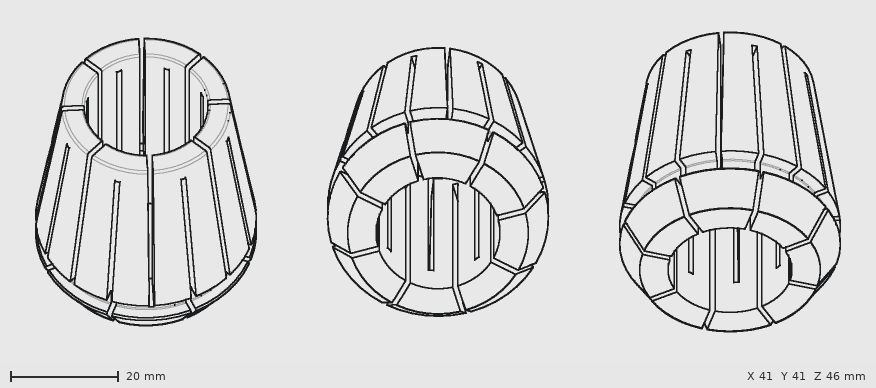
import cadquery as cq
import math

length = 46.0
max_radius = 41.0 / 2
bore_radius = 23.0 / 2

nose_angle = 30.0
nose_land_height = 0.15
nose_cone_top = 6.6
nose_rim_height = 0.45
nose_rim_inset = 0.3
nose_height = nose_cone_top + nose_rim_height
nose_tip_radius = max_radius - (nose_cone_top - nose_land_height) * math.tan(math.radians(nose_angle))

groove_radius = 36.2 / 2
groove_width = 4.1
groove_fillet = 0.2
groove_top = nose_height + groove_width

taper_angle = 8.0
taper_top_radius = max_radius - (length - groove_top) * math.tan(math.radians(taper_angle))

outer_edge_fillet = 0.5
bore_edge_fillet = 0.4

slot_width = 1.0
slot_reach = max_radius + slot_width
slots_per_end = 8
slot_pitch = 360.0 / slots_per_end
uncut_top_height = 3.5
lower_slot_top = length - uncut_top_height
upper_slot_floor = 7.6


def make_blank():
    """Revolve the collet wall, from the bore to the outside, around Z."""
    fillet_start_radius = groove_radius + groove_fillet
    return (
        cq.Workplane("XZ")
        .moveTo(bore_radius, 0)
        .lineTo(nose_tip_radius, 0)
        .lineTo(nose_tip_radius, nose_land_height)
        .lineTo(max_radius, nose_cone_top)
        .lineTo(max_radius - nose_rim_inset, nose_height)
        .lineTo(fillet_start_radius, nose_height)
        .tangentArcPoint((-groove_fillet, groove_fillet))
        .lineTo(groove_radius, groove_top - groove_fillet)
        .tangentArcPoint((groove_fillet, groove_fillet))
        .lineTo(max_radius, groove_top)
        .lineTo(taper_top_radius, length)
        .lineTo(bore_radius, length)
        .close()
        .revolve(360, (0, 0), (0, 1))
    )


def round_top_edges(collet):
    """Round the outer and the bore edge of the top face."""
    bore_edge = cq.selectors.RadiusNthSelector(0)
    outer_edge = cq.selectors.RadiusNthSelector(-1)
    rounded_outside = collet.faces(">Z").edges(outer_edge).fillet(outer_edge_fillet)
    return rounded_outside.faces(">Z").edges(bore_edge).fillet(bore_edge_fillet)


def make_slots(first_angle, bottom, top):
    """Radial blades from the axis to just beyond the outside, between two heights."""
    slots = cq.Workplane("XY")
    for index in range(slots_per_end):
        blade = (
            cq.Workplane("XY", origin=(0, 0, bottom))
            .rect(slot_reach, slot_width, centered=(False, True))
            .extrude(top - bottom)
            .rotate((0, 0, 0), (0, 0, 1), first_angle + index * slot_pitch)
        )
        slots = slots.add(blade)
    return slots.combine()


lower_slots = make_slots(0, 0, lower_slot_top)
upper_slots = make_slots(slot_pitch / 2, upper_slot_floor, length)

result = round_top_edges(make_blank()).cut(lower_slots).cut(upper_slots)